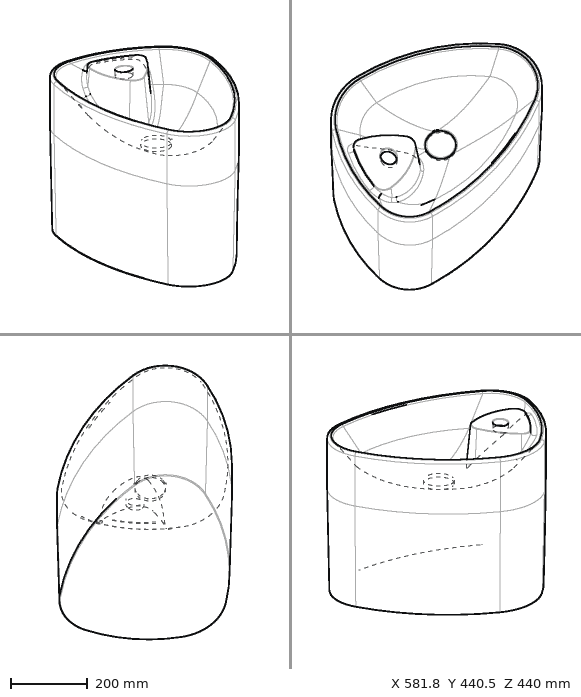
import cadquery as cq
import math


OUTER = ([(174.5, -2.0, 122.0), (-106.0, 82.0, 151.0), (-166.0, -89.0, 116.0)], [587.5, 439.5, 661.0])
FLOOR = ([(145.0, -3.0, 81.0), (-84.5, 69.0, 101.0), (-109.0, -28.0, 116.5)], [427.5, 465.0, 455.5])
LEDGE = ([(-118.5, -1.0, 30.0), (-206.5, 63.0, 22.5), (-217.0, -45.0, 31.0)], [256.5, 336.0, 171.5])

height = 440.0
taper_top = 291.0
base_inset = 6.0
base_round = 2.5

rim_width = 15.0
rim_outer_round = 7.5
rim_bevel = 4.0

floor_edge_level = 363.5
waste_level = 295.5
floor_sections = 4
dish_exponent = 2.2
waste_pull = 0.02

cover_radius = 40.0
cover_round = 3.5
cover_thickness = 11.5

ledge_level = 436.0
ledge_flare = 13.5
ledge_edge_round = 2.0
ledge_foot_round = 9.0
tap_hole_x = -167.5
tap_hole_length = 39.5
tap_hole_width = 47.5
tap_hole_round = 2.0
tap_hole_depth = 20.0

touch_tolerance = 0.05


def inset(outline, distance):
    """Move an outline inward by a distance (outward if negative)."""
    corners, sides = outline
    return [(x, y, r - distance) for x, y, r in corners], [r - distance for r in sides]


def blend(start, end, share):
    """Outline part of the way from one outline to another."""
    corners = [
        tuple(a + share * (b - a) for a, b in zip(first, last))
        for first, last in zip(start[0], end[0])
    ]
    sides = [a + share * (b - a) for a, b in zip(start[1], end[1])]
    return corners, sides


def side_centre(first, second, side_radius):
    """Centre of the arc that encloses and touches two corner circles."""
    dx, dy = second[0] - first[0], second[1] - first[1]
    gap = math.hypot(dx, dy)
    reach_first = side_radius - first[2]
    reach_second = side_radius - second[2]
    along = (reach_first**2 - reach_second**2 + gap**2) / (2 * gap)
    across = math.sqrt(reach_first**2 - along**2)
    return (
        first[0] + (along * dx - across * dy) / gap,
        first[1] + (along * dy + across * dx) / gap,
    )


def point_on(circle, angle):
    """Point of a circle (x, y, radius) at an angle."""
    x, y, r = circle
    return x + r * math.cos(angle), y + r * math.sin(angle)


def outline_wire(outline, z):
    """Closed horizontal wire of tangent arcs, alternating corners and sides."""
    corners, side_radii = outline
    count = len(corners)
    sides = []
    for i in range(count):
        centre = side_centre(corners[i], corners[(i + 1) % count], side_radii[i])
        sides.append((*centre, side_radii[i]))

    def touch_angle(corner, side):
        return math.atan2(corner[1] - side[1], corner[0] - side[0])

    arcs = []
    for i in range(count):
        arrival = touch_angle(corners[i], sides[i - 1])
        departure = touch_angle(corners[i], sides[i])
        next_arrival = touch_angle(corners[(i + 1) % count], sides[i])
        arcs.append((corners[i], arrival, departure))
        arcs.append((sides[i], departure, next_arrival))

    path = cq.Workplane("XY").workplane(offset=z).moveTo(*point_on(arcs[0][0], arcs[0][1]))
    for circle, start, end in arcs:
        sweep = (end - start) % (2 * math.pi)
        path = path.threePointArc(point_on(circle, start + sweep / 2), point_on(circle, start + sweep))
    return path.close().val()


def loft(sections, ruled):
    """Solid through (outline, level) sections, with straight sides if ruled."""
    wires = [outline_wire(outline, z) for outline, z in sections]
    return cq.Workplane(cq.Solid.makeLoft(wires, ruled))


def make_shell():
    """Solid outside of the basin with its rounded top and bottom edges."""
    pedestal = loft([(inset(OUTER, base_inset), 0), (OUTER, taper_top)], ruled=True)
    pedestal = pedestal.faces("<Z").edges().fillet(base_round)
    upper = loft([(OUTER, taper_top), (OUTER, height)], ruled=True)
    upper = upper.faces(">Z").edges().fillet(rim_outer_round)
    return pedestal.union(upper)


def make_bowl():
    """Hollow of the bowl: a dished floor, a sloping wall and an eased rim."""
    pulled_corners = [(x * waste_pull, y * waste_pull, cover_radius) for x, y, _ in FLOOR[0]]
    near_waste = (pulled_corners, [2 * cover_radius] * len(pulled_corners))
    dish = []
    for i in range(floor_sections):
        share = i / (floor_sections - 1)
        level = waste_level + (floor_edge_level - waste_level) * share**dish_exponent
        dish.append((blend(near_waste, FLOOR, share), level))
    rim_base = height - rim_bevel
    mouth = inset(OUTER, rim_width)
    wall = loft([(FLOOR, floor_edge_level), (mouth, rim_base)], ruled=True)
    rim = loft([(mouth, rim_base), (inset(mouth, -rim_bevel), height)], ruled=True)
    return loft(dish, ruled=False).union(wall).union(rim)


def make_ledge():
    """Tap ledge, flaring from its flat top down to the waste level."""
    ledge = loft([(inset(LEDGE, -ledge_flare), waste_level), (LEDGE, ledge_level)], ruled=True)
    return ledge.faces(">Z").edges().fillet(ledge_edge_round)


def make_cover_recess():
    """Recess for the waste cover, with its mouth rounded outward."""
    mouth = cover_radius + cover_round
    base = waste_level - cover_thickness
    return (
        cq.Workplane("XZ")
        .moveTo(0, base)
        .lineTo(cover_radius, base)
        .lineTo(cover_radius, waste_level - cover_round)
        .radiusArc((mouth, waste_level), cover_round)
        .lineTo(0, waste_level)
        .close()
        .revolve(360, (0, 0, 0), (0, 1, 0))
    )


def round_ledge_foot(body, bowl, ledge):
    """Blend the ledge into the bowl along the slanting curve where they meet."""
    surfaces = [bowl.val().Shells()[0], ledge.val().Shells()[0]]

    def on_both_surfaces(edge):
        middle = cq.Vertex.makeVertex(*edge.positionAt(0.5).toTuple())
        return all(surface.distance(middle) < touch_tolerance for surface in surfaces)

    foot = [edge for edge in body.edges().vals() if on_both_surfaces(edge)]
    return body.newObject(foot).fillet(ledge_foot_round)


def drill_tap_hole(body):
    """Blind elliptical tap hole in the ledge, with a rounded mouth."""
    hole = (
        cq.Workplane("XY", origin=(tap_hole_x, 0, ledge_level))
        .ellipse(tap_hole_length / 2, tap_hole_width / 2)
        .extrude(-tap_hole_depth)
    )
    mouth = cq.NearestToPointSelector((tap_hole_x, tap_hole_width / 2, ledge_level))
    return body.cut(hole).edges("%ELLIPSE").edges(mouth).fillet(tap_hole_round)


def make_basin():
    """Basin body: shell, bowl, tap ledge, tap hole and the recess for the cover."""
    bowl = make_bowl()
    ledge = make_ledge()
    body = make_shell().cut(bowl).union(ledge)
    body = round_ledge_foot(body, bowl, ledge)
    return drill_tap_hole(body).cut(make_cover_recess())


def make_waste_cover():
    """Round cover, flush with the bottom of the bowl, with a rounded top edge."""
    return (
        cq.Workplane("XY", origin=(0, 0, waste_level - cover_thickness))
        .circle(cover_radius)
        .extrude(cover_thickness)
        .faces(">Z")
        .edges()
        .fillet(cover_round)
    )


basin = make_basin()
waste_cover = make_waste_cover()
result = cq.Compound.makeCompound([basin.val(), waste_cover.val()])